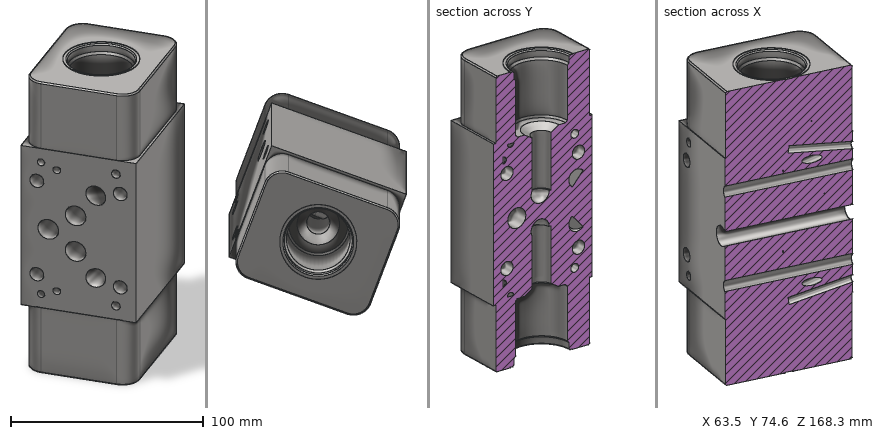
import cadquery as cq
import math

block_width = 63.5
block_depth = 74.63
block_height = 92.08
overall_height = 168.28

cap_width = 60.7
cap_depth = 74.0
cap_height = (overall_height - block_height) / 2
cap_corner_radius = 9.6
cap_edge_chamfer = 0.8

cavity_x = -0.8
spotface_diameter = 40.0
spotface_depth = 0.3
mouth_diameter = 36.8
mouth_cone_depth = 0.7
neck_diameter = 35.4
neck_depth = 4.6
cap_bore_diameter = 33.0
floor_chamfer = 1.1
seat_diameter = 22.0
seat_half_angle = math.radians(59)
stem_bore_diameter = 12.0

bolt_spacing_x = 46.0
bolt_spacing_z = 54.0
bolt_diameter = 7.6
port_diameter = 11.3
pressure_port_x = -16.7
work_port_x = -1.65
work_port_z = 10.3
tank_port_x = 9.5
tank_port_z = 23.8
pilot_diameter = 3.9
dowel_diameter = 4.7
pilot_x = -12.0
pilot_z = 35.0
drain_x = -20.7
dowel_x = 20.6
drain_z = 38.1

tank_diameter = 10.3
tank_lean = math.radians(25)
tank_heading = math.radians(-42)
pilot_lean = math.radians(20)
pilot_heading = math.radians(180)
drain_lean = math.radians(8)
drain_heading = math.radians(90)

half_block = block_height / 2
half_overall = overall_height / 2
front_y = -block_depth / 2
seat_cone_depth = (seat_diameter - stem_bore_diameter) / 2 / math.tan(seat_half_angle)


def y_hole(x, z, diameter, depth):
    """Cylinder drilled from the front face toward +Y."""
    start = cq.Vector(x, front_y, z)
    return cq.Workplane(cq.Solid.makeCylinder(diameter / 2, depth, start, cq.Vector(0, 1, 0)))


def angled_hole(x, z, diameter, lean, heading):
    """Cylinder from the front face to mid-depth, leaning from +Y toward a heading in XZ."""
    reach = math.tan(lean)
    axis = cq.Vector(reach * math.cos(heading), 1, reach * math.sin(heading)).normalized()
    entry = cq.Vector(x, front_y, z)
    start = entry - axis * diameter
    length = -front_y / math.cos(lean) + diameter
    return cq.Workplane(cq.Solid.makeCylinder(diameter / 2, length, start, axis))


def upper_cap():
    """Rounded rectangular cap standing on the top of the block."""
    return (
        cq.Workplane("XY", origin=(0, 0, half_block))
        .rect(cap_width, cap_depth)
        .extrude(cap_height)
        .edges("|Z")
        .fillet(cap_corner_radius)
        .faces(">Z")
        .edges()
        .chamfer(cap_edge_chamfer)
    )


def upper_cavity():
    """Stepped bore from the cap face down to the upper work port."""
    spotface_z = half_overall - spotface_depth
    shoulder_z = half_overall - neck_depth
    shoulder_width = (neck_diameter - cap_bore_diameter) / 2
    profile = [
        (0, half_overall),
        (spotface_diameter / 2, half_overall),
        (spotface_diameter / 2, spotface_z),
        (mouth_diameter / 2, spotface_z),
        (neck_diameter / 2, spotface_z - mouth_cone_depth),
        (neck_diameter / 2, shoulder_z),
        (cap_bore_diameter / 2, shoulder_z - shoulder_width),
        (cap_bore_diameter / 2, half_block + floor_chamfer),
        (cap_bore_diameter / 2 - floor_chamfer, half_block),
        (seat_diameter / 2, half_block),
        (stem_bore_diameter / 2, half_block - seat_cone_depth),
        (stem_bore_diameter / 2, work_port_z),
        (0, work_port_z),
    ]
    cavity = cq.Workplane("XZ").polyline(profile).close().revolve(360, (0, 0), (0, 1))
    return cavity.translate((cavity_x, 0, 0))


def work_port():
    """Ball-ended port meeting the stem bore."""
    ball = cq.Workplane("XY").sphere(port_diameter / 2).translate((work_port_x, 0, work_port_z))
    return y_hole(work_port_x, work_port_z, port_diameter, -front_y).union(ball)


def angled_drillings():
    """Tank, pilot and drain passages of the upper half."""
    return [
        angled_hole(tank_port_x, tank_port_z, tank_diameter, tank_lean, tank_heading),
        angled_hole(pilot_x, pilot_z, pilot_diameter, pilot_lean, pilot_heading),
        angled_hole(drain_x, drain_z, pilot_diameter, drain_lean, drain_heading),
    ]


def through_holes():
    """Pressure port, four bolt holes and two dowel holes."""
    holes = y_hole(pressure_port_x, 0, port_diameter, block_depth)
    for side_z in (-1, 1):
        holes = holes.union(y_hole(dowel_x, side_z * drain_z, dowel_diameter, block_depth))
        for side_x in (-1, 1):
            bolt_x = side_x * bolt_spacing_x / 2
            bolt_z = side_z * bolt_spacing_z / 2
            holes = holes.union(y_hole(bolt_x, bolt_z, bolt_diameter, block_depth))
    return holes


result = cq.Workplane("XY").box(block_width, block_depth, block_height)
result = result.union(upper_cap()).union(upper_cap().mirror("XY"))
for cut in (upper_cavity(), work_port(), *angled_drillings()):
    result = result.cut(cut).cut(cut.mirror("XY"))
result = result.cut(through_holes())